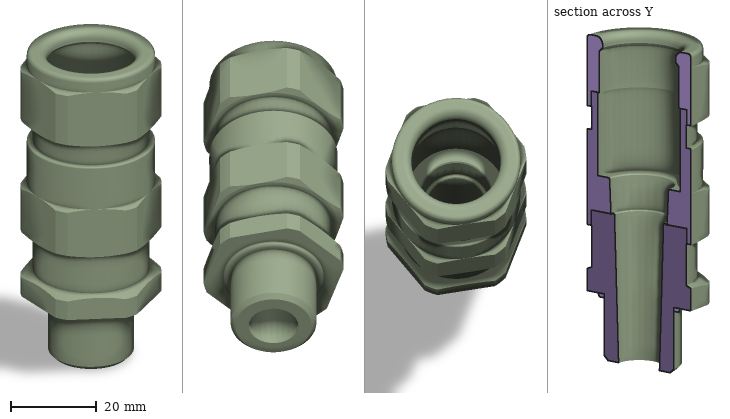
import cadquery as cq
import math

ACROSS_FLATS = 30.0
ACROSS_CORNERS = 33.0
FLAT_RADIUS = ACROSS_FLATS / 2
CORNER_RADIUS = ACROSS_CORNERS / 2
CHAMFER_SLOPE = 0.42
CORNER_DROP = CHAMFER_SLOPE * (CORNER_RADIUS - FLAT_RADIUS)

THREAD_BOTTOM = 0.0
WASHER_BOTTOM = 15.05
ENTRY_HEX_BOTTOM = 16.0
ENTRY_HEX_TOP = 22.0
MIDDLE_BOTTOM = 32.1
MIDDLE_HEX_TOP = 44.5
COLLAR_TOP = 55.4
CAP_BOTTOM = 60.9
CAP_HEX_TOP = 74.95
CAP_TOP = 78.4

SLEEVE_RADIUS = 13.65
ENGAGEMENT = 3.7
ENTRY_TOP = MIDDLE_BOTTOM + ENGAGEMENT
MIDDLE_TOP = CAP_BOTTOM + ENGAGEMENT

CAP_EDGE_ROUND = 1.0
LIP_RADIUS = 10.4
LIP_ROUND = 1.95
LIP_LAND = 0.8
CAP_BORE_RADIUS = 11.4

COLLAR_ROUND = 0.4
POCKET_RADIUS = 11.75
THROAT_TOP_RADIUS = 8.4
THROAT_BOTTOM_RADIUS = 8.0
THROAT_CHAMFER = 0.3

THREAD_RADIUS = 10.0
THREAD_CHAMFER = 1.1
BORE_TOP_RADIUS = 7.0
BORE_BOTTOM_RADIUS = 5.8
MOUTH_CHAMFER = 0.2
NOSE_HEIGHT = 0.3

WASHER_RADIUS = 11.75
WASHER_ROUND = 0.8


def revolve(profile):
    """Turn a closed radius-height profile about the Z axis."""
    return profile.close().revolve(360, (0, 0, 0), (0, 1, 0))


def turned(points):
    return revolve(cq.Workplane("XZ").polyline(points))


def cylinder(radius, bottom, top):
    return cq.Workplane("XY").workplane(offset=bottom).circle(radius).extrude(top - bottom)


def hexagon(bottom, top, envelope):
    """Hexagonal prism with corners at +Y and -Y, trimmed by a turned envelope."""
    prism = (
        cq.Workplane("XY")
        .workplane(offset=bottom)
        .polygon(6, ACROSS_FLATS, circumscribed=True)
        .extrude(top - bottom)
    )
    return prism.intersect(turned(envelope))


def double_chamfered_hexagon(bottom, top):
    """Hexagon whose corners are coned off at both ends."""
    envelope = [
        (0, bottom),
        (FLAT_RADIUS, bottom),
        (CORNER_RADIUS, bottom + CORNER_DROP),
        (CORNER_RADIUS, top - CORNER_DROP),
        (FLAT_RADIUS, top),
        (0, top),
    ]
    return hexagon(bottom, top, envelope)


def make_cap():
    rim = cylinder(FLAT_RADIUS, CAP_HEX_TOP, CAP_TOP).faces(">Z").edges().fillet(CAP_EDGE_ROUND)
    outside = double_chamfered_hexagon(CAP_BOTTOM, CAP_HEX_TOP).union(rim)

    round_end = CAP_TOP - LIP_ROUND
    land_end = round_end - LIP_LAND
    flare_end = land_end - (CAP_BORE_RADIUS - LIP_RADIUS)
    round_offset = LIP_ROUND * (1 - math.sqrt(0.5))
    bore = revolve(
        cq.Workplane("XZ")
        .moveTo(0, CAP_TOP)
        .lineTo(LIP_RADIUS + LIP_ROUND, CAP_TOP)
        .threePointArc((LIP_RADIUS + round_offset, CAP_TOP - round_offset), (LIP_RADIUS, round_end))
        .lineTo(LIP_RADIUS, land_end)
        .lineTo(CAP_BORE_RADIUS, flare_end)
        .lineTo(CAP_BORE_RADIUS, MIDDLE_TOP)
        .lineTo(0, MIDDLE_TOP)
    )
    sleeve_recess = cylinder(SLEEVE_RADIUS, CAP_BOTTOM, MIDDLE_TOP)
    return outside.cut(bore).cut(sleeve_recess)


def make_middle_body():
    collar = cylinder(FLAT_RADIUS, MIDDLE_HEX_TOP, COLLAR_TOP).faces(">Z").edges().fillet(COLLAR_ROUND)
    sleeve = cylinder(SLEEVE_RADIUS, COLLAR_TOP, MIDDLE_TOP)
    outside = double_chamfered_hexagon(MIDDLE_BOTTOM, MIDDLE_HEX_TOP).union(collar).union(sleeve)

    pocket_and_throat = turned(
        [
            (0, MIDDLE_TOP),
            (POCKET_RADIUS, MIDDLE_TOP),
            (POCKET_RADIUS, MIDDLE_HEX_TOP),
            (THROAT_TOP_RADIUS + THROAT_CHAMFER, MIDDLE_HEX_TOP),
            (THROAT_TOP_RADIUS, MIDDLE_HEX_TOP - THROAT_CHAMFER),
            (THROAT_BOTTOM_RADIUS, ENTRY_TOP),
            (0, ENTRY_TOP),
        ]
    )
    sleeve_recess = cylinder(SLEEVE_RADIUS, MIDDLE_BOTTOM, ENTRY_TOP)
    return outside.cut(pocket_and_throat).cut(sleeve_recess)


def make_entry_body():
    thread = (
        cylinder(THREAD_RADIUS, THREAD_BOTTOM, ENTRY_HEX_BOTTOM).faces("<Z").edges().chamfer(THREAD_CHAMFER)
    )
    sleeve = cylinder(SLEEVE_RADIUS, ENTRY_HEX_TOP, ENTRY_TOP)
    top_envelope = [
        (0, ENTRY_HEX_BOTTOM),
        (CORNER_RADIUS, ENTRY_HEX_BOTTOM),
        (CORNER_RADIUS, ENTRY_HEX_TOP - CHAMFER_SLOPE * (CORNER_RADIUS - SLEEVE_RADIUS)),
        (SLEEVE_RADIUS, ENTRY_HEX_TOP),
        (0, ENTRY_HEX_TOP),
    ]

    nose_top = ENTRY_TOP + NOSE_HEIGHT
    nose = turned(
        [
            (0, ENTRY_TOP),
            (THROAT_BOTTOM_RADIUS, ENTRY_TOP),
            (THROAT_BOTTOM_RADIUS - NOSE_HEIGHT, nose_top),
            (0, nose_top),
        ]
    )
    outside = hexagon(ENTRY_HEX_BOTTOM, ENTRY_HEX_TOP, top_envelope).union(thread).union(sleeve).union(nose)

    tapered_bore = turned(
        [
            (0, nose_top),
            (BORE_TOP_RADIUS + MOUTH_CHAMFER, nose_top),
            (BORE_TOP_RADIUS, nose_top - MOUTH_CHAMFER),
            (BORE_BOTTOM_RADIUS, THREAD_BOTTOM),
            (0, THREAD_BOTTOM),
        ]
    )
    return outside.cut(tapered_bore)


def make_washer():
    disc = cylinder(WASHER_RADIUS, WASHER_BOTTOM, ENTRY_HEX_BOTTOM).faces("<Z").edges().fillet(WASHER_ROUND)
    return disc.cut(cylinder(THREAD_RADIUS, WASHER_BOTTOM, ENTRY_HEX_BOTTOM))


cap = make_cap()
middle_body = make_middle_body()
entry_body = make_entry_body()
washer = make_washer()

result = cq.Compound.makeCompound([cap.val(), middle_body.val(), entry_body.val(), washer.val()])